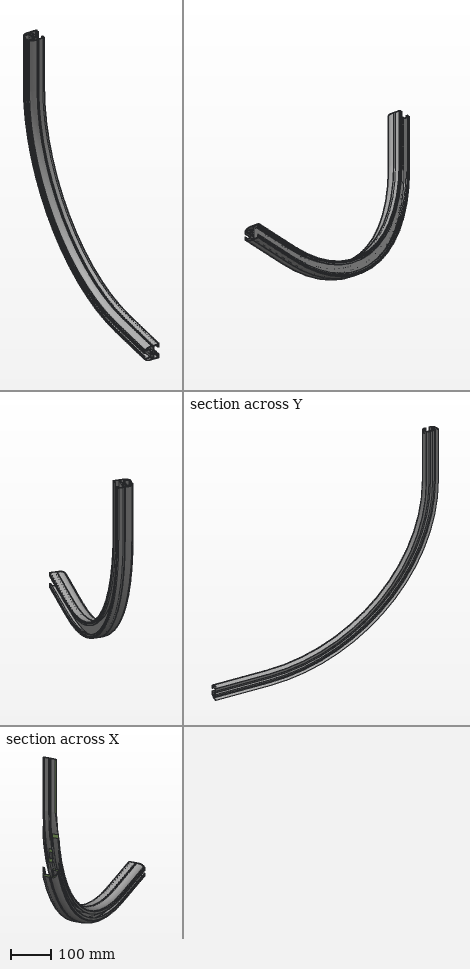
import math

import cadquery as cq

LEG = 150.0
BEND_ANGLE = 90.0
BEND_RADIUS = 450.0

WIDTH = 41.0
DEPTH = 43.0
HALF_WIDTH = WIDTH / 2
OPEN_FACE = DEPTH / 2
SLOT_FACE = -DEPTH / 2
ARC_CENTRE_Y = -4.3
WALL = 2.0

LINE_Y = 2.8
LINE_WIDTH = 0.8
LINE_DEPTH = 0.8

CHANNEL_FLOOR = 6.5
CHANNEL_WALL = 2.6
CHANNEL_HALF_WIDTH = HALF_WIDTH - CHANNEL_WALL
LIP_BOTTOM = 17.6
LIP_HALF_GAP = 11.2
LIP_GROOVE_U = 16.4
LIP_GROOVE_WIDTH = 3.0
LIP_GROOVE_DEPTH = 2.0

SLOT_HALF_WIDTH = 4.6
T_SLOT_HALF_WIDTH = 10.9
T_SLOT_ROOF = -4.9
T_SLOT_FLOOR = SLOT_FACE + WALL

CHAMBER_TOP = 3.4
CHAMBER_FLOOR = -2.8
CHAMBER_CORNER = 2.5
BOSS_HALF_WIDTH = 5.0
BORE_DIAMETER = 5.0
BORE_Y = (CHAMBER_TOP + CHAMBER_FLOOR) / 2


def drop_on_circle(radius, u):
    """Y of the lower half of a circle about the arc centre, at distance u from the centre line."""
    return ARC_CENTRE_Y - math.sqrt(radius**2 - u**2)


def point_on_arc(radius, u_end):
    """Point halfway along the +U arc that starts level with its centre and ends at u_end."""
    angle = math.acos(u_end / radius) / 2
    return radius * math.cos(angle), ARC_CENTRE_Y - radius * math.sin(angle)


def outer_outline():
    flat_half = math.sqrt(HALF_WIDTH**2 - (ARC_CENTRE_Y - SLOT_FACE) ** 2)
    mid_u, mid_y = point_on_arc(HALF_WIDTH, flat_half)
    return (
        cq.Sketch()
        .segment((-HALF_WIDTH, OPEN_FACE), (HALF_WIDTH, OPEN_FACE))
        .segment((HALF_WIDTH, ARC_CENTRE_Y))
        .arc((mid_u, mid_y), (flat_half, SLOT_FACE))
        .segment((-flat_half, SLOT_FACE))
        .arc((-mid_u, mid_y), (-HALF_WIDTH, ARC_CENTRE_Y))
        .close()
        .assemble()
    )


def polygon(corners):
    return cq.Sketch().polygon(corners + corners[:1])


def rectangle(half_width, y_low, y_high):
    corners = [(-half_width, y_low), (half_width, y_low), (half_width, y_high), (-half_width, y_high)]
    return polygon(corners)


def side_line(side):
    """V line cut into the flat on the given side (-1 or +1)."""
    corners = [
        (side * HALF_WIDTH, LINE_Y - LINE_WIDTH / 2),
        (side * (HALF_WIDTH - LINE_DEPTH), LINE_Y),
        (side * HALF_WIDTH, LINE_Y + LINE_WIDTH / 2),
    ]
    return polygon(corners)


def lip_groove(side):
    """V groove cut into the lip on the given side."""
    corners = [
        (side * (LIP_GROOVE_U - LIP_GROOVE_WIDTH / 2), OPEN_FACE),
        (side * LIP_GROOVE_U, OPEN_FACE - LIP_GROOVE_DEPTH),
        (side * (LIP_GROOVE_U + LIP_GROOVE_WIDTH / 2), OPEN_FACE),
    ]
    return polygon(corners)


def chamber(side):
    """L-shaped hollow running from the boss to the outer wall and down beside the T-slot."""
    outer = HALF_WIDTH - WALL
    inner = T_SLOT_HALF_WIDTH + WALL
    tip_y = drop_on_circle(outer, inner)
    mid_u, mid_y = point_on_arc(outer, inner)
    return (
        cq.Sketch()
        .segment((side * BOSS_HALF_WIDTH, CHAMBER_TOP), (side * (outer - CHAMBER_CORNER), CHAMBER_TOP))
        .segment((side * outer, CHAMBER_TOP - CHAMBER_CORNER))
        .segment((side * outer, ARC_CENTRE_Y))
        .arc((side * mid_u, mid_y), (side * inner, tip_y))
        .segment((side * inner, CHAMBER_FLOOR))
        .segment((side * BOSS_HALF_WIDTH, CHAMBER_FLOOR))
        .close()
        .assemble()
    )


def profile():
    """Cross-section in (u, y), with u measured from the centre line away from the outer side."""
    section = outer_outline()
    section = section.face(rectangle(CHANNEL_HALF_WIDTH, CHANNEL_FLOOR, LIP_BOTTOM), mode="s")
    section = section.face(rectangle(LIP_HALF_GAP, LIP_BOTTOM, OPEN_FACE), mode="s")
    section = section.face(rectangle(T_SLOT_HALF_WIDTH, T_SLOT_FLOOR, T_SLOT_ROOF), mode="s")
    section = section.face(rectangle(SLOT_HALF_WIDTH, SLOT_FACE, T_SLOT_FLOOR), mode="s")
    for side in (-1, 1):
        section = section.face(side_line(side), mode="s")
        section = section.face(lip_groove(side), mode="s")
        section = section.face(chamber(side), mode="s")
    return section.push([(0, BORE_Y)]).circle(BORE_DIAMETER / 2, mode="s").reset().clean()


bend_end = HALF_WIDTH + BEND_RADIUS
upright_plane = cq.Plane(origin=(HALF_WIDTH, 0, bend_end), xDir=(1, 0, 0), normal=(0, 0, 1))
level_plane = cq.Plane(origin=(bend_end, 0, HALF_WIDTH), xDir=(0, 0, 1), normal=(-1, 0, 0))
bend_axis = ((BEND_RADIUS, 0, 0), (BEND_RADIUS, -1, 0))

section = profile()
upright_leg = cq.Workplane(upright_plane).placeSketch(section).extrude(LEG)
bend = cq.Workplane(upright_plane).placeSketch(section).revolve(BEND_ANGLE, *bend_axis)
level_leg = cq.Workplane(level_plane).placeSketch(section).extrude(-LEG)
result = upright_leg.union(bend).union(level_leg)